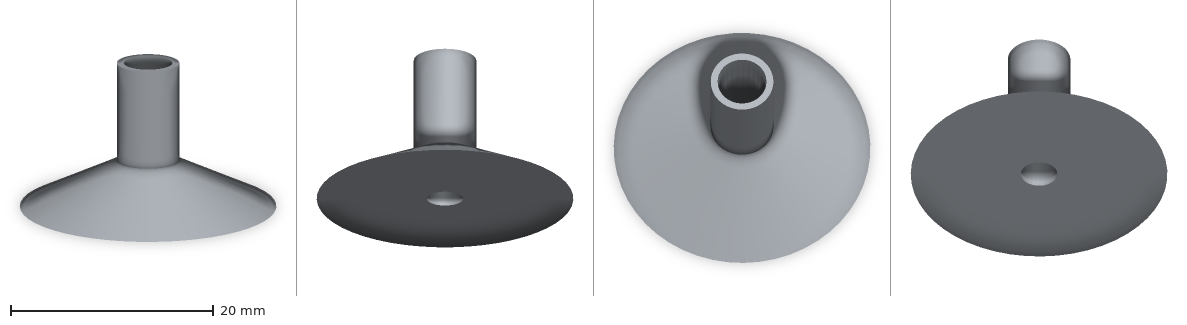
import cadquery as cq

flange_diameter = 25.4
total_height = 14.75
tube_length = 10.0
tube_diameter = 6.2

mouth_diameter = 4.83
outlet_diameter = 3.6

cone_height = total_height - tube_length

half_section = (
    cq.Workplane("XZ")
    .moveTo(outlet_diameter / 2, 0)
    .lineTo(flange_diameter / 2, 0)
    .lineTo(tube_diameter / 2, cone_height)
    .lineTo(tube_diameter / 2, total_height)
    .lineTo(mouth_diameter / 2, total_height)
    .close()
)

result = half_section.revolve(360, (0, 0, 0), (0, 1, 0))